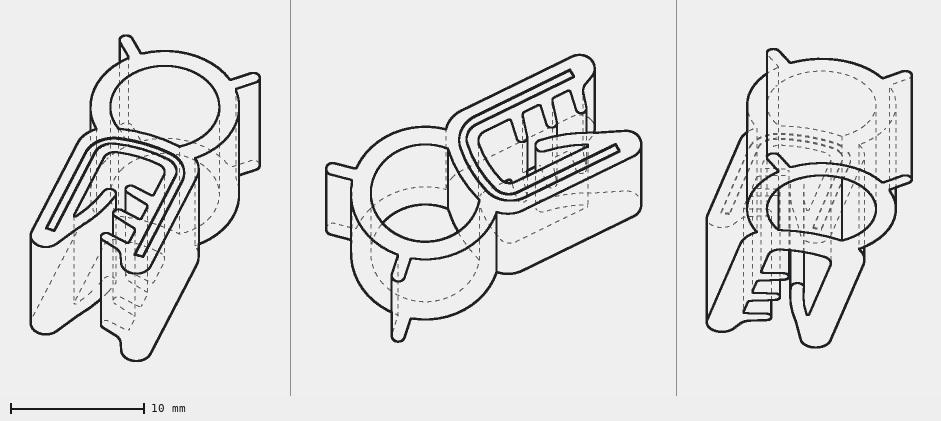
import cadquery as cq
import math

LENGTH = 10.0

BULB_RADIUS = 5.6
BULB_BORE_RADIUS = 4.1

EAR_WIDTH = 1.0
EAR_TIP_OFFSET = 5.13
EAR_ROOT_FILLET = 0.12
EAR_DIRECTIONS = (45, 135)

CARRIER_HALF_WIDTH = 4.8
CARRIER_TOP_Y = -3.4
SHOULDER_RADIUS = 2.3
FOOT_RADIUS = 1.15
FOOT_BOTTOM_Y = -16.36
FLANK_ANGLE = 65.5

CROWN_CENTER_Y = -14.1
BULB_FLOOR_RADIUS = 11.1

CAVITY_HALF_WIDTH = 2.42
CAVITY_CROWN_RADIUS = 8.75
CAVITY_CORNER_RADIUS = 0.9

INSERT_OUTER_HALF_WIDTH = 3.9
INSERT_INNER_HALF_WIDTH = 3.25
INSERT_OUTER_CROWN_RADIUS = 10.17
INSERT_INNER_CROWN_RADIUS = 9.57
INSERT_OUTER_CORNER_RADIUS = 2.3
INSERT_INNER_CORNER_RADIUS = 1.4
INSERT_END_Y = -14.52
INSERT_RECESS = 0.1

BARB_COUNT = 3
BARB_PITCH = 2.54
BARB_TIP_RADIUS = 0.4
BARB_TIP_X = 0.62
FIRST_BARB_Y = -8.62
BARB_UPPER_SLOPE = 13.0
BARB_LOWER_SLOPE = 18.0
BARB_UPPER_FILLET = 0.15
BARB_LOWER_FILLET = 0.3

LIP_THICKNESS = 1.0
LIP_CURVE_RADIUS = 10.5
LIP_TIP_X = -0.72
LIP_TIP_Y = -9.6
LIP_TIP_TILT = 9.0
LIP_SWEEP = 29.0
LIP_ROOT_FILLET = 0.1
LEFT_FLANK_FILLET = 3.0
RIGHT_FLANK_FILLET = 1.0

FOOT_CENTER_X = CARRIER_HALF_WIDTH - FOOT_RADIUS
FOOT_CENTER_Y = FOOT_BOTTOM_Y + FOOT_RADIUS
FLANK_RUN = math.cos(math.radians(FLANK_ANGLE))
FLANK_RISE = math.sin(math.radians(FLANK_ANGLE))
FLANK_START_X = FOOT_CENTER_X - FOOT_RADIUS * FLANK_RISE
FLANK_START_Y = FOOT_CENTER_Y - FOOT_RADIUS * FLANK_RUN
LIP_TILT = math.radians(LIP_TIP_TILT)
LIP_CENTER_X = LIP_TIP_X - LIP_CURVE_RADIUS * math.cos(LIP_TILT)
LIP_CENTER_Y = LIP_TIP_Y + LIP_CURVE_RADIUS * math.sin(LIP_TILT)
LIP_INNER_RADIUS = LIP_CURVE_RADIUS - LIP_THICKNESS / 2
LIP_OUTER_RADIUS = LIP_CURVE_RADIUS + LIP_THICKNESS / 2
WALL_OVERLAP = 0.3


def cylinder(x, y, radius):
    return cq.Workplane("XY").center(x, y).circle(radius).extrude(LENGTH)


def prism(points):
    return cq.Workplane("XY").polyline(points).close().extrude(LENGTH)


def block(x_min, x_max, y_min, y_max):
    return prism([(x_min, y_min), (x_max, y_min), (x_max, y_max), (x_min, y_max)])


def round_corner(body, x, y, radius):
    """Fillet the lengthwise edge closest to (x, y)."""
    edge = body.edges("|Z").edges(cq.selectors.NearestToPointSelector((x, y, LENGTH / 2)))
    return edge.fillet(radius)


def arch(half_width, crown_radius, corner_radius, bottom_y):
    """Straight-sided shape with a gently crowned top and rounded top corners."""
    sides = block(-half_width, half_width, bottom_y, 0)
    body = sides.intersect(cylinder(0, CROWN_CENTER_Y, crown_radius))
    corner_y = CROWN_CENTER_Y + math.sqrt(crown_radius**2 - half_width**2)
    for side in (-1, 1):
        body = round_corner(body, side * half_width, corner_y, corner_radius)
    return body


def barb_lower_edge(y):
    """Point where the lower edge of a barb with tip centre height y leaves its tip."""
    slope = math.radians(BARB_LOWER_SLOPE)
    return BARB_TIP_X - BARB_TIP_RADIUS * math.sin(slope), y - BARB_TIP_RADIUS * math.cos(slope)


def barb_upper_edge(y):
    """Point where the upper edge of a barb with tip centre height y leaves its tip."""
    slope = math.radians(BARB_UPPER_SLOPE)
    return BARB_TIP_X + BARB_TIP_RADIUS * math.sin(slope), y + BARB_TIP_RADIUS * math.cos(slope)


def follow_down(start, slope, x):
    """Height at x of a line that falls from start toward +X at the given slope."""
    return start[1] - (x - start[0]) * math.tan(math.radians(slope))


def lip_inner_face_y(x):
    """Height at x of the lip face that looks toward the left leg."""
    return LIP_CENTER_Y - math.sqrt(LIP_INNER_RADIUS**2 - (x - LIP_CENTER_X)**2)


def make_bulb():
    bulb = cylinder(0, 0, BULB_RADIUS)
    tip_distance = EAR_TIP_OFFSET * math.sqrt(2)
    half = EAR_WIDTH / 2
    root_distance = math.sqrt(BULB_RADIUS**2 - half**2)
    for direction in EAR_DIRECTIONS:
        ear = block(BULB_BORE_RADIUS + half, tip_distance, -half, half)
        ear = ear.union(cylinder(tip_distance, 0, half))
        bulb = bulb.union(ear.rotate((0, 0, 0), (0, 0, 1), direction))
    for direction in EAR_DIRECTIONS:
        for side in (-1, 1):
            angle = math.radians(direction) + side * math.atan2(half, root_distance)
            root_x = BULB_RADIUS * math.cos(angle)
            root_y = BULB_RADIUS * math.sin(angle)
            bulb = round_corner(bulb, root_x, root_y, EAR_ROOT_FILLET)
    return bulb


def make_carrier():
    carrier = block(-CARRIER_HALF_WIDTH, CARRIER_HALF_WIDTH, FOOT_CENTER_Y, CARRIER_TOP_Y)
    for side in (-1, 1):
        carrier = round_corner(carrier, side * CARRIER_HALF_WIDTH, CARRIER_TOP_Y, SHOULDER_RADIUS)
    return carrier


def make_bore():
    return cylinder(0, 0, BULB_BORE_RADIUS).cut(cylinder(0, CROWN_CENTER_Y, BULB_FLOOR_RADIUS))


def make_cavity():
    return arch(CAVITY_HALF_WIDTH, CAVITY_CROWN_RADIUS, CAVITY_CORNER_RADIUS, FOOT_BOTTOM_Y)


def make_barb(y):
    root_x = CAVITY_HALF_WIDTH + WALL_OVERLAP
    upper = barb_upper_edge(y)
    lower = barb_lower_edge(y)
    blade = prism([
        upper,
        (root_x, follow_down(upper, BARB_UPPER_SLOPE, root_x)),
        (root_x, follow_down(lower, BARB_LOWER_SLOPE, root_x)),
        lower,
    ])
    return blade.union(cylinder(BARB_TIP_X, y, BARB_TIP_RADIUS))


def make_lip():
    def on_arc(radius, sweep):
        angle = -LIP_TILT - math.radians(sweep)
        return LIP_CENTER_X + radius * math.cos(angle), LIP_CENTER_Y + radius * math.sin(angle)

    band = (
        cq.Workplane("XY")
        .moveTo(*on_arc(LIP_OUTER_RADIUS, 0))
        .threePointArc(on_arc(LIP_OUTER_RADIUS, LIP_SWEEP / 2), on_arc(LIP_OUTER_RADIUS, LIP_SWEEP))
        .lineTo(*on_arc(LIP_INNER_RADIUS, LIP_SWEEP))
        .threePointArc(on_arc(LIP_INNER_RADIUS, LIP_SWEEP / 2), on_arc(LIP_INNER_RADIUS, 0))
        .close()
        .extrude(LENGTH)
    )
    return band.union(cylinder(LIP_TIP_X, LIP_TIP_Y, LIP_THICKNESS / 2))


def make_foot(side, flank_top):
    """Round foot of one leg with the sloping flank that ends at flank_top."""
    wall_x = side * (CAVITY_HALF_WIDTH + WALL_OVERLAP)
    flank = prism([
        (side * FOOT_CENTER_X, FOOT_CENTER_Y),
        (side * FLANK_START_X, FLANK_START_Y),
        flank_top,
        (wall_x, flank_top[1]),
    ])
    return cylinder(side * FOOT_CENTER_X, FOOT_CENTER_Y, FOOT_RADIUS).union(flank)


def right_flank_top(barb_y):
    """Meeting point of the right flank and the lower edge of the last barb."""
    lower = barb_lower_edge(barb_y)
    gap = follow_down(lower, BARB_LOWER_SLOPE, FLANK_START_X) - FLANK_START_Y
    travel = gap / (FLANK_RISE - FLANK_RUN * math.tan(math.radians(BARB_LOWER_SLOPE)))
    return FLANK_START_X - travel * FLANK_RUN, FLANK_START_Y + travel * FLANK_RISE


def left_flank_top():
    """Meeting point of the left flank and the outer face of the lip."""
    start_x = -FLANK_START_X - LIP_CENTER_X
    start_y = FLANK_START_Y - LIP_CENTER_Y
    along = start_x * FLANK_RUN + start_y * FLANK_RISE
    excess = start_x**2 + start_y**2 - LIP_OUTER_RADIUS**2
    travel = -along - math.sqrt(along**2 - excess)
    return -FLANK_START_X + travel * FLANK_RUN, FLANK_START_Y + travel * FLANK_RISE


def make_insert_channel():
    """Shallow U-shaped channel in the +Z end face that marks the carrier insert."""
    outer = arch(INSERT_OUTER_HALF_WIDTH, INSERT_OUTER_CROWN_RADIUS,
                 INSERT_OUTER_CORNER_RADIUS, INSERT_END_Y)
    inner = arch(INSERT_INNER_HALF_WIDTH, INSERT_INNER_CROWN_RADIUS,
                 INSERT_INNER_CORNER_RADIUS, INSERT_END_Y)
    return outer.cut(inner).translate((0, 0, LENGTH - INSERT_RECESS))


def round_inner_corners(body):
    """Fillet the barb roots, the flank ends and the lip root."""
    for y in barb_heights:
        upper_y = follow_down(barb_upper_edge(y), BARB_UPPER_SLOPE, CAVITY_HALF_WIDTH)
        body = round_corner(body, CAVITY_HALF_WIDTH, upper_y, BARB_UPPER_FILLET)
    for y in barb_heights[:-1]:
        lower_y = follow_down(barb_lower_edge(y), BARB_LOWER_SLOPE, CAVITY_HALF_WIDTH)
        body = round_corner(body, CAVITY_HALF_WIDTH, lower_y, BARB_LOWER_FILLET)
    body = round_corner(body, *right_top, RIGHT_FLANK_FILLET)
    body = round_corner(body, *left_top, LEFT_FLANK_FILLET)
    lip_root_y = lip_inner_face_y(-CAVITY_HALF_WIDTH)
    return round_corner(body, -CAVITY_HALF_WIDTH, lip_root_y, LIP_ROOT_FILLET)


barb_heights = [FIRST_BARB_Y - i * BARB_PITCH for i in range(BARB_COUNT)]
left_top = left_flank_top()
right_top = right_flank_top(barb_heights[-1])

profile = make_bulb().union(make_carrier()).cut(make_bore()).cut(make_cavity())
profile = profile.union(make_foot(-1, left_top)).union(make_foot(1, right_top)).union(make_lip())
for barb_height in barb_heights:
    profile = profile.union(make_barb(barb_height))
profile = round_inner_corners(profile.clean())

result = profile.cut(make_insert_channel())